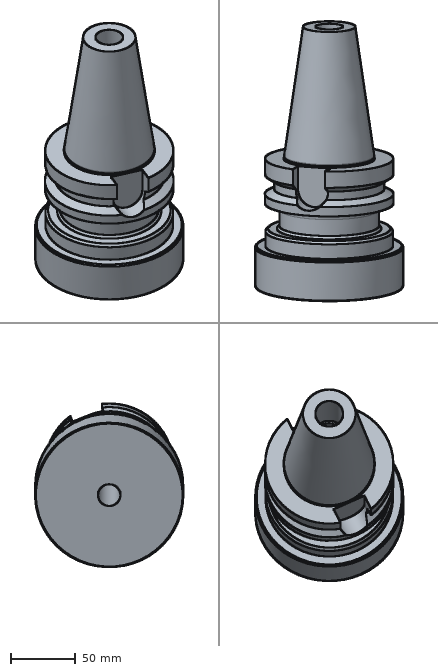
import cadquery as cq

total_height = 205.8
nut_top = 32.1
collar_top = 45.7
neck_bottom = 48.0
neck_top = 61.0
flange_bottom = 65.9
groove_bottom = 73.3
groove_floor_bottom = 77.2
groove_floor_top = 84.0
groove_top = 88.5
flange_top = 101.3
gauge_land_bottom = 102.5
taper_start = 103.7

nut_radius = 57.52
collar_radius = 49.5
collar_shoulder_radius = 40.5
neck_radius = 38.7
flange_radius = 50.0
upper_flange_radius = 49.8
groove_floor_radius = 42.8
taper_large_radius = 35.0
taper_foot_radius = 35.5
taper_small_radius = 20.4

nut_bottom_chamfer = 0.6
nut_top_chamfer = 1.2
collar_chamfer = 2.0
sweep_radius = flange_bottom - neck_top

through_radius = 8.6
counterbore_radius = 10.7
counterbore_depth = 41.2

slot_width = 26.3
slot_bottom = 69.8
slot_face_distance = 35.6


def make_body():
    """Revolve the stepped holder profile about the Z axis."""
    return (
        cq.Workplane("XZ")
        .lineTo(nut_radius - nut_bottom_chamfer, 0)
        .lineTo(nut_radius, nut_bottom_chamfer)
        .lineTo(nut_radius, nut_top - nut_top_chamfer)
        .lineTo(nut_radius - nut_top_chamfer, nut_top)
        .lineTo(collar_radius, nut_top)
        .lineTo(collar_radius, collar_top - collar_chamfer)
        .lineTo(collar_radius - collar_chamfer, collar_top)
        .lineTo(collar_shoulder_radius, collar_top)
        .lineTo(neck_radius, neck_bottom)
        .lineTo(neck_radius, neck_top)
        .radiusArc((neck_radius + sweep_radius, flange_bottom), sweep_radius)
        .lineTo(flange_radius, flange_bottom)
        .lineTo(flange_radius, groove_bottom)
        .lineTo(groove_floor_radius, groove_floor_bottom)
        .lineTo(groove_floor_radius, groove_floor_top)
        .lineTo(upper_flange_radius, groove_top)
        .lineTo(upper_flange_radius, flange_top)
        .lineTo(taper_foot_radius, flange_top)
        .lineTo(taper_large_radius, gauge_land_bottom)
        .lineTo(taper_large_radius, taper_start)
        .lineTo(taper_small_radius, total_height)
        .lineTo(0, total_height)
        .close()
        .revolve(360, (0, 0), (0, 1))
    )


def make_bore():
    """Through hole with a wider counterbore at the small end of the taper."""
    through = cq.Workplane("XY").circle(through_radius).extrude(total_height)
    counterbore = (
        cq.Workplane("XY")
        .workplane(offset=total_height - counterbore_depth)
        .circle(counterbore_radius)
        .extrude(counterbore_depth)
    )
    return through.union(counterbore)


def make_slot(side):
    """Round-bottomed drive slot, open outward and upward; side is -1 or +1."""
    half_width = slot_width / 2
    arc_center = slot_bottom + half_width
    return (
        cq.Workplane("YZ")
        .workplane(offset=side * slot_face_distance)
        .moveTo(-half_width, flange_top)
        .lineTo(-half_width, arc_center)
        .threePointArc((0, slot_bottom), (half_width, arc_center))
        .lineTo(half_width, flange_top)
        .close()
        .extrude(side * (nut_radius - slot_face_distance))
    )


result = make_body().cut(make_bore())
for side in (-1, 1):
    result = result.cut(make_slot(side))